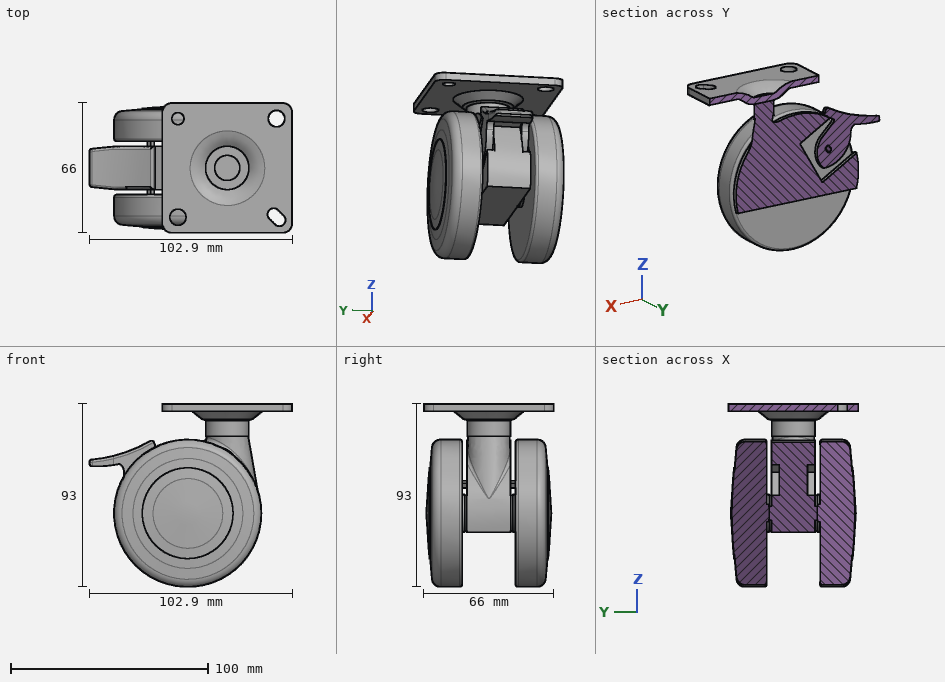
import cadquery as cq
import math


overall_length = 102.9

plate_side = 66.0
plate_top = 55.5
plate_thickness = 3.8
plate_corner = 4.8
hole_offset = 25.0
small_hole_radius = 3.1
large_hole_radius = 4.1
slot_angle = -45
slot_width = 6.2
slot_length = 10.2
plate_bottom = plate_top - plate_thickness

dish_rim_radius = 18.9
dish_floor_radius = 11.0
dish_depth = 4.5
dish_wall_crown = (14.5, 53.9)
dish_outer_radius = 17.8
dish_shoulder = (13.0, 47.8)
dish_bottom_radius = 10.5
dish_bottom = 47.0
dish_floor = plate_top - dish_depth

swivel_x = 20.1
rivet_radius = 6.4
stem_radius = 11.0
stem_bottom = 39.1
neck_radius = 10.7
neck_foot_x = 25.6
neck_foot_z = 7.2
neck_blend = 2.1
joint_reach_x = 28.8

housing_radius = 37.1
housing_half_width = 11.1
housing_bottom = -9.8
tongue_half_width = 7.2
pocket_mouth_x = -19.6
pocket_mouth_z = 31.0
pocket_slope = 30
pocket_height = 26.8
pocket_depth = 20.6
pocket_length = 41.2

wheel_radius = 37.5
wheel_inner = 13.5
inner_edge_radius = 1.4
tread_outer = 24.4
shoulder_radius = 33.5
shoulder_face = 28.9
ring_radius = 27.9
ring_face = 29.4
cap_radius = 23.1
cap_seat = 29.9
cap_step = 0.3
disc_radius = 17.7
disc_face = 30.7
apex_face = 31.8
hub_radius = 9.6
boss_radius = 9.2
hub_joint = 12.2
hub_edge = 0.3

lever_half_width = 10.9
lever_tip_x = swivel_x + plate_side / 2 - overall_length
lever_tip_half_width = 9.7
lever_taper_x = -37.7
lever_edge = 1.3
lever_tip_corner = 1.5
lever_tip_bottom = (-49.2, 23.8)
lever_tip_break_z = 24.9
lever_tip_top_z = 27.2
lever_top_middle = (-32.4, 30.7)
lever_rear_top = (-17.7, 37.5)
lever_rear_bottom = (-16.5, 34.6)
lever_underside_middle = (-40.7, 24.0)
leg_front_x = -32.4
leg_round_top = 21.2
leg_corner = 4.2
leg_round = 16.5
leg_top_z = leg_round_top + leg_corner

bar_length = 3.1
bar_thickness = 2.2
bar_orbit = 23.8
bar_angle = 142


def cylinder_y(radius, y_start, y_end):
    """Cylinder on the wheel axis from y_start to y_end."""
    return cq.Workplane("XZ", origin=(0, y_start, 0)).circle(radius).extrude(y_start - y_end)


def mirrored_pair(solid):
    """The given shape joined with its mirror image across the XZ plane."""
    return solid.union(solid.mirror("XZ"))


def make_bar():
    """Rectangular bar that crosses the housing and ends at the wheel faces."""
    angle = math.radians(bar_angle)
    return (
        cq.Workplane("XY")
        .box(bar_thickness, 2 * wheel_inner, bar_length)
        .rotate((0, 0, 0), (0, 1, 0), -bar_angle)
        .translate((bar_orbit * math.cos(angle), 0, bar_orbit * math.sin(angle)))
    )


def make_plate():
    """Square plate with a pressed dish, a rivet hole, three round holes and a slot."""
    sheet = (
        cq.Workplane("XY", origin=(swivel_x, 0, plate_bottom))
        .rect(plate_side, plate_side)
        .extrude(plate_thickness)
        .edges("|Z")
        .fillet(plate_corner)
    )
    dish = (
        cq.Workplane("XZ")
        .moveTo(0, plate_top)
        .lineTo(dish_outer_radius, plate_top)
        .lineTo(dish_outer_radius, plate_bottom)
        .lineTo(*dish_shoulder)
        .lineTo(dish_bottom_radius, dish_bottom)
        .lineTo(0, dish_bottom)
        .close()
        .revolve(360, (0, 0), (0, 1))
        .translate((swivel_x, 0, 0))
    )
    hollow = (
        cq.Workplane("XZ")
        .moveTo(0, plate_top)
        .lineTo(dish_rim_radius, plate_top)
        .threePointArc(dish_wall_crown, (dish_floor_radius, dish_floor))
        .lineTo(0, dish_floor)
        .close()
        .revolve(360, (0, 0), (0, 1))
        .translate((swivel_x, 0, 0))
    )
    plate = sheet.union(dish).cut(hollow)
    top_plane = cq.Workplane("XY", origin=(swivel_x, 0, plate_top))
    plate = plate.copyWorkplane(top_plane).circle(rivet_radius).cutBlind(dish_bottom - plate_top)
    for x, y, radius in (
        (-hole_offset, hole_offset, small_hole_radius),
        (hole_offset, hole_offset, large_hole_radius),
        (-hole_offset, -hole_offset, large_hole_radius),
    ):
        plate = plate.copyWorkplane(top_plane).center(x, y).circle(radius).cutBlind(-plate_thickness)
    slot = plate.copyWorkplane(top_plane).center(hole_offset, -hole_offset)
    return slot.slot2D(slot_length, slot_width, slot_angle).cutBlind(-plate_thickness)


def make_pocket():
    """Sloping slot for one brake leg, open at the housing front and at its -Y side."""
    width = housing_half_width - tongue_half_width
    return (
        cq.Workplane("XY")
        .box(pocket_length, width, pocket_height, centered=(False, False, False))
        .translate((pocket_depth - pocket_length, -housing_half_width, -pocket_height))
        .rotate((0, 0, 0), (0, 1, 0), pocket_slope)
        .translate((pocket_mouth_x, 0, pocket_mouth_z))
    )


def make_housing():
    """Drum between the wheels with its neck, stem, rivet, hub bosses and brake pockets."""
    drum = cylinder_y(housing_radius, -stem_radius - neck_blend, stem_radius + neck_blend)
    neck = (
        cq.Workplane("XY", origin=(neck_foot_x, 0, neck_foot_z))
        .circle(neck_radius)
        .workplane(offset=stem_bottom - neck_foot_z)
        .center(swivel_x - neck_foot_x, 0)
        .circle(neck_radius)
        .loft(ruled=True)
    )
    joint = cq.selectors.BoxSelector(
        (0, -neck_radius, neck_foot_z), (joint_reach_x, neck_radius, stem_bottom - 1)
    )
    envelope = cq.Workplane("XY", origin=(0, 0, housing_bottom)).box(
        3 * housing_radius, 2 * housing_half_width, 2 * housing_radius, centered=(True, True, False)
    )
    shell = drum.union(neck).edges(joint).fillet(neck_blend).intersect(envelope)
    stem = (
        cq.Workplane("XY", origin=(swivel_x, 0, stem_bottom))
        .circle(stem_radius)
        .extrude(dish_bottom - stem_bottom)
    )
    rivet = (
        cq.Workplane("XY", origin=(swivel_x, 0, dish_bottom))
        .circle(rivet_radius)
        .extrude(plate_top - dish_bottom)
    )
    boss = cylinder_y(boss_radius, -hub_joint, -housing_half_width).faces("<Y").edges().fillet(hub_edge)
    body = shell.cut(mirrored_pair(make_pocket()))
    return body.union(stem).union(rivet).union(mirrored_pair(boss)).cut(make_bar())


def make_wheel(side):
    """One wheel, on the +Y side for side = 1 and on the -Y side for side = -1."""
    wheel = (
        cq.Workplane("XY")
        .moveTo(0, hub_joint)
        .lineTo(hub_radius - hub_edge, hub_joint)
        .radiusArc((hub_radius, hub_joint + hub_edge), -hub_edge)
        .lineTo(hub_radius, wheel_inner)
        .lineTo(wheel_radius - inner_edge_radius, wheel_inner)
        .radiusArc((wheel_radius, wheel_inner + inner_edge_radius), -inner_edge_radius)
        .lineTo(wheel_radius, tread_outer)
        .tangentArcPoint((shoulder_radius, shoulder_face), relative=False)
        .lineTo(ring_radius, ring_face)
        .lineTo(cap_radius, cap_seat)
        .lineTo(cap_radius, cap_seat + cap_step)
        .lineTo(disc_radius, disc_face)
        .lineTo(0, apex_face)
        .close()
        .revolve(360, (0, 0), (0, 1))
    )
    return wheel if side > 0 else wheel.mirror("XZ")


def make_lever():
    """Curved brake paddle with two legs that reach into the housing pockets."""
    paddle = (
        cq.Workplane("XZ", origin=(0, lever_half_width, 0))
        .moveTo(*lever_tip_bottom)
        .lineTo(lever_tip_x, lever_tip_break_z)
        .lineTo(lever_tip_x, lever_tip_top_z)
        .threePointArc(lever_top_middle, lever_rear_top)
        .lineTo(*lever_rear_bottom)
        .lineTo(lever_rear_bottom[0], leg_round_top)
        .lineTo(leg_front_x, leg_top_z)
        .threePointArc(lever_underside_middle, lever_tip_bottom)
        .close()
        .extrude(2 * lever_half_width)
    )
    plan = (
        cq.Workplane("XY")
        .polyline(
            [
                (lever_tip_x, -lever_tip_half_width),
                (lever_taper_x, -lever_half_width),
                (0, -lever_half_width),
                (0, lever_half_width),
                (lever_taper_x, lever_half_width),
                (lever_tip_x, lever_tip_half_width),
            ]
        )
        .close()
        .extrude(plate_top)
    )
    paddle = paddle.intersect(plan.edges("<X and |Z").fillet(lever_tip_corner))
    top_face = cq.selectors.NearestToPointSelector((lever_top_middle[0], 0, lever_top_middle[1]))
    paddle = paddle.faces(top_face).edges().fillet(lever_edge)
    paddle = paddle.cut(cylinder_y(housing_radius, -housing_half_width, housing_half_width))
    leg = (
        cq.Workplane("XZ", origin=(0, -tongue_half_width, 0))
        .moveTo(leg_front_x - leg_corner, leg_top_z)
        .radiusArc((leg_front_x, leg_round_top), leg_corner)
        .radiusArc((leg_front_x + leg_round, leg_round_top - leg_round), -leg_round)
        .threePointArc((-11.8, 12.4), (-14.4, 21.2))
        .lineTo(-20.9, 27.7)
        .threePointArc((-21.7, 28.6), (-22.0, 30.1))
        .lineTo(-24.7, 30.9)
        .close()
        .extrude(lever_half_width - tongue_half_width)
    )
    return paddle.union(mirrored_pair(leg)).cut(make_bar())


plate = make_plate()
housing = make_housing()
wheels = [make_wheel(side) for side in (1, -1)]
lever = make_lever()
bar = make_bar()

result = cq.Compound.makeCompound(
    [plate.val(), housing.val(), *[wheel.val() for wheel in wheels], lever.val(), bar.val()]
)